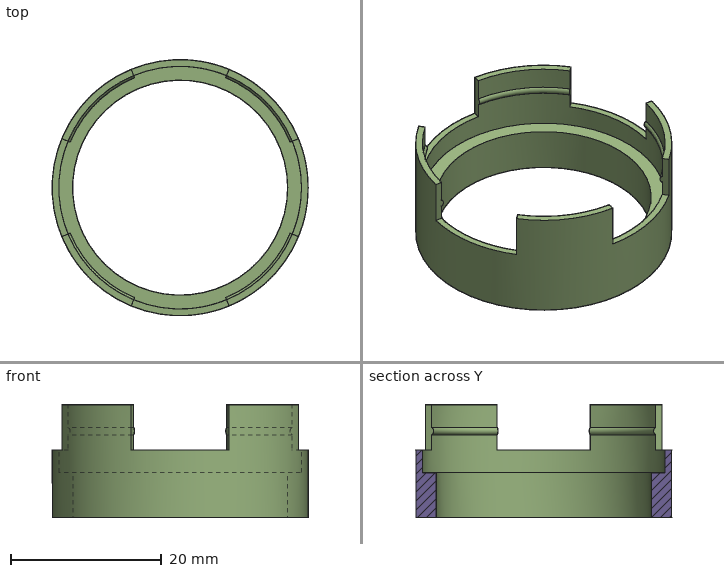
import cadquery as cq
import math

outer_diameter = 34.0
socket_diameter = 32.2
bore_diameter = 28.5
ledge_height = 6.0
wall_height = 9.0
total_height = 15.0

tab_count = 4
gap_angle = 45.0

bead_height = 11.5
bead_width = 1.0
bead_projection = 0.3

outer_radius = outer_diameter / 2
socket_radius = socket_diameter / 2
bore_radius = bore_diameter / 2


def make_beaded_ring():
    """Full-height ring with a stepped bore and a bead inside the socket."""
    return (
        cq.Workplane("XZ")
        .moveTo(bore_radius, 0)
        .lineTo(outer_radius, 0)
        .lineTo(outer_radius, total_height)
        .lineTo(socket_radius, total_height)
        .lineTo(socket_radius, bead_height + bead_width / 2)
        .threePointArc(
            (socket_radius - bead_projection, bead_height),
            (socket_radius, bead_height - bead_width / 2),
        )
        .lineTo(socket_radius, ledge_height)
        .lineTo(bore_radius, ledge_height)
        .close()
        .revolve(360, (0, 0, 0), (0, 1, 0))
    )


def make_gap_cutter():
    """Wedge above the wall, centred on +X, with radial sides."""
    reach = outer_diameter
    half_width = reach * math.tan(math.radians(gap_angle / 2))
    return (
        cq.Workplane("XY", origin=(0, 0, wall_height))
        .polyline([(0, 0), (reach, -half_width), (reach, half_width)])
        .close()
        .extrude(total_height - wall_height)
    )


result = make_beaded_ring()
gap_cutter = make_gap_cutter()
for index in range(tab_count):
    result = result.cut(gap_cutter.rotate((0, 0, 0), (0, 0, 1), index * 360 / tab_count))